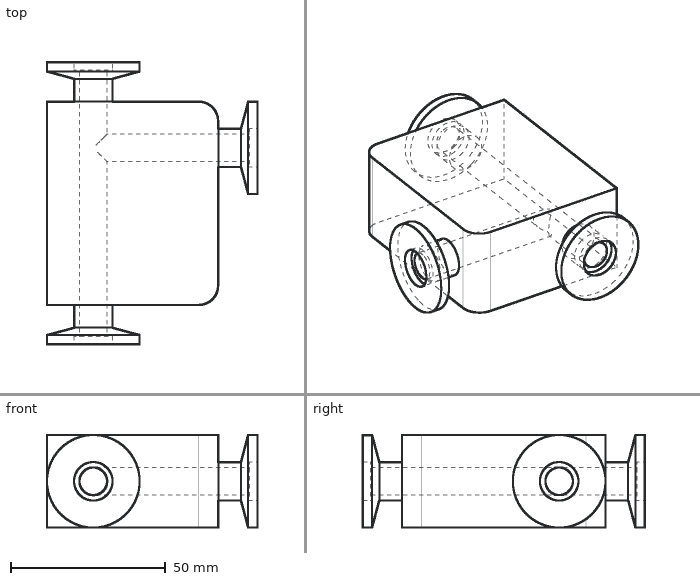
import cadquery as cq
import math

block_x = 55.37
block_y = 65.79
block_z = 29.97
corner_radius = 6.35

port_length = 12.7
flange_diameter = 29.97
rim_thickness = 3.05
cone_angle = 15.0
stem_diameter = 12.45
bore_diameter = 8.89
recess_diameter = 12.45
recess_depth = 2.54

stem_radius = stem_diameter / 2
flange_radius = flange_diameter / 2
cone_length = (flange_radius - stem_radius) * math.tan(math.radians(cone_angle))

axis_z = block_z / 2
main_axis_x = flange_radius
side_axis_y = block_y - flange_radius

DIR_X = cq.Vector(1, 0, 0)
DIR_Y = cq.Vector(0, 1, 0)

ports = [
    (cq.Vector(main_axis_x, 0, axis_z), -DIR_Y),
    (cq.Vector(main_axis_x, block_y, axis_z), DIR_Y),
    (cq.Vector(block_x, side_axis_y, axis_z), DIR_X),
]


def make_block():
    """Rectangular block with the two +X vertical edges rounded."""
    block = cq.Workplane("XY").box(block_x, block_y, block_z, centered=False)
    return block.edges("|Z and >X").fillet(corner_radius)


def make_port(base, direction):
    """Solid stem widening through a cone to a flat-rimmed flange."""
    cone_start = port_length - rim_thickness - cone_length
    rim_start = port_length - rim_thickness
    stem = cq.Solid.makeCylinder(stem_radius, cone_start, base, direction)
    cone = cq.Solid.makeCone(
        stem_radius, flange_radius, cone_length, base + direction * cone_start, direction
    )
    rim = cq.Solid.makeCylinder(
        flange_radius, rim_thickness, base + direction * rim_start, direction
    )
    return cq.Workplane(obj=stem).union(cq.Workplane(obj=cone)).union(cq.Workplane(obj=rim))


def make_recess(base, direction):
    """Shallow round recess sunk into the flange face."""
    floor = base + direction * (port_length - recess_depth)
    return cq.Workplane(obj=cq.Solid.makeCylinder(recess_diameter / 2, recess_depth, floor, direction))


def make_bores():
    """Main bore along Y through both end ports, with a side bore along X meeting it."""
    main_start = cq.Vector(main_axis_x, -port_length, axis_z)
    main_length = block_y + 2 * port_length
    main = cq.Solid.makeCylinder(bore_diameter / 2, main_length, main_start, DIR_Y)
    side_start = cq.Vector(main_axis_x, side_axis_y, axis_z)
    side_length = block_x + port_length - main_axis_x
    side = cq.Solid.makeCylinder(bore_diameter / 2, side_length, side_start, DIR_X)
    return cq.Workplane(obj=main).union(cq.Workplane(obj=side))


result = make_block()
for port_base, port_direction in ports:
    result = result.union(make_port(port_base, port_direction))
    result = result.cut(make_recess(port_base, port_direction))
result = result.cut(make_bores())